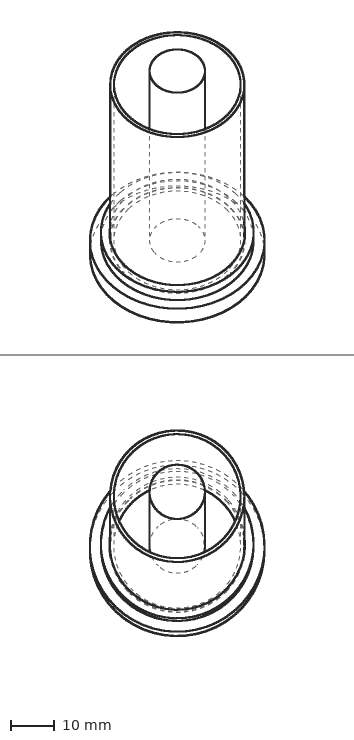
import cadquery as cq

flange_diameter = 40.0
flange_height = 5.05
collar_diameter = 35.0
collar_height = 3.0
socket_diameter = 31.0
post_diameter = 12.7
total_height = 67.15

tube_outer_diameter = 30.75
tube_inner_diameter = 29.0
post_protrusion = 5.0

collar_top = flange_height + collar_height
socket_floor = flange_height
tube_top = total_height - post_protrusion


def cylinder(diameter, bottom, top):
    """Vertical cylinder on the Z axis between two heights."""
    return cq.Workplane("XY").workplane(offset=bottom).circle(diameter / 2).extrude(top - bottom)


def make_base():
    """Flange, socketed collar and central post as one solid."""
    flange = cylinder(flange_diameter, 0, flange_height)
    collar = cylinder(collar_diameter, flange_height, collar_top)
    socket = cylinder(socket_diameter, socket_floor, collar_top)
    post = cylinder(post_diameter, socket_floor, total_height)
    return flange.union(collar.cut(socket)).union(post)


def make_tube():
    """Open-ended tube resting on the socket floor."""
    outside = cylinder(tube_outer_diameter, socket_floor, tube_top)
    bore = cylinder(tube_inner_diameter, socket_floor, tube_top)
    return outside.cut(bore)


base = make_base()
tube = make_tube()

result = cq.Compound.makeCompound([base.val(), tube.val()])